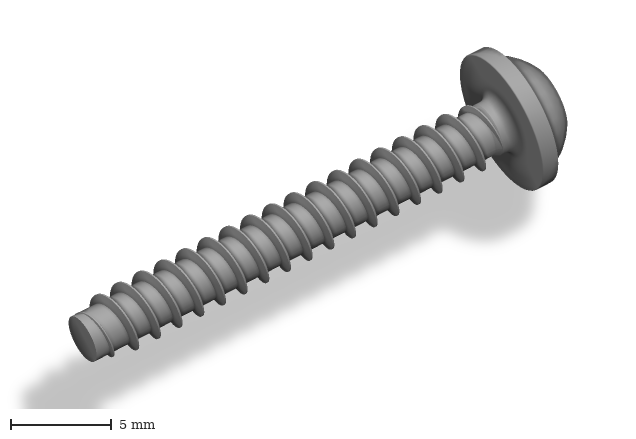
import cadquery as cq
import math

flange_diameter = 7.5
flange_radius = flange_diameter / 2
flange_thickness = 0.95
flange_edge_round = 0.05
dome_height = 1.77
dome_base_radius = 3.27
dome_top_radius = 1.85
dome_mid_radius = 2.75
dome_mid_height = 0.95

overall_length = 27.7
shank_length = overall_length - flange_thickness - dome_height
neck_radius = 1.4
neck_fillet = 0.5
neck_length = 0.83
neck_taper_length = 0.33
core_diameter = 2.52
core_radius = core_diameter / 2
tip_crown = 0.05

crest_radius = 1.72
root_radius = 1.15
full_thread_length = 21.3
section_count = 11
section_turns = 1.5
full_turns = section_count * section_turns
pitch = full_thread_length / full_turns
fade_turns = 1.4
faded_crest_radius = 1.2
root_width = 0.55
crest_width = 0.08
faded_root_width = 0.1
faded_crest_width = 0.05
full_thread_start = 1.9
thread_start_angle = -90.0


def make_body():
    """Head, neck and core as one profile revolved about Z, with its crowned tip at z = 0."""
    flange_top = shank_length + flange_thickness
    neck_end = shank_length - neck_length
    return (
        cq.Workplane("XZ")
        .moveTo(0, 0)
        .threePointArc((core_radius / 2, tip_crown / 4), (core_radius, tip_crown))
        .lineTo(core_radius, neck_end - neck_taper_length)
        .lineTo(neck_radius, neck_end)
        .lineTo(neck_radius, shank_length - neck_fillet)
        .radiusArc((neck_radius + neck_fillet, shank_length), neck_fillet)
        .lineTo(flange_radius - flange_edge_round, shank_length)
        .radiusArc((flange_radius, shank_length + flange_edge_round), -flange_edge_round)
        .lineTo(flange_radius, flange_top - flange_edge_round)
        .radiusArc((flange_radius - flange_edge_round, flange_top), -flange_edge_round)
        .lineTo(dome_base_radius, flange_top)
        .threePointArc(
            (dome_mid_radius, flange_top + dome_mid_height),
            (dome_top_radius, overall_length),
        )
        .lineTo(0, overall_length)
        .close()
        .revolve(360, (0, 0, 0), (0, 1, 0))
    )


def ridge_profile(base_width, top_width, top_radius):
    """Trapezoid corners as (radius, height), centred on the thread's mid plane."""
    return [
        (root_radius, -base_width / 2),
        (top_radius, -top_width / 2),
        (top_radius, top_width / 2),
        (root_radius, base_width / 2),
    ]


def make_helix(start_radius, end_radius, start_z, end_z, turns):
    """Right-handed helix from angle 0 whose radius changes evenly along its height."""
    height = end_z - start_z
    base = cq.Vector(0, 0, start_z)
    if start_radius == end_radius:
        return cq.Wire.makeHelix(height / turns, height, start_radius, base)
    cone_angle = math.atan2(end_radius - start_radius, height)
    slant_length = height / math.cos(cone_angle)
    return cq.Wire.makeHelix(
        slant_length / turns, slant_length, start_radius, base, angle=math.degrees(cone_angle)
    )


def make_ridge(start_profile, end_profile, turns):
    """Thread ridge of ruled faces between four helices, which join the corners of its end profiles."""
    rails = [
        make_helix(start_radius, end_radius, start_z, end_z + turns * pitch, turns)
        for (start_radius, start_z), (end_radius, end_z) in zip(start_profile, end_profile)
    ]
    faces = [cq.Face.makeRuledSurface(rails[i - 1], rails[i]) for i in range(len(rails))]
    for position in (0, 1):
        corners = [rail.positionAt(position) for rail in rails]
        faces.append(cq.Face.makeFromWires(cq.Wire.makePolygon(corners, close=True)))
    return cq.Solid.makeSolid(cq.Shell.makeShell(faces))


def place_ridge(ridge, turns_from_start):
    """Screw a ridge along the axis, counted in turns from the start of the full thread."""
    angle = thread_start_angle + 360 * turns_from_start
    height = full_thread_start + pitch * turns_from_start
    turned = ridge.rotate(cq.Vector(0, 0, 0), cq.Vector(0, 0, 1), angle)
    return turned.translate(cq.Vector(0, 0, height))


full_profile = ridge_profile(root_width, crest_width, crest_radius)
faded_profile = ridge_profile(faded_root_width, faded_crest_width, faded_crest_radius)
full_section = make_ridge(full_profile, full_profile, section_turns)
lead_in = make_ridge(faded_profile, full_profile, fade_turns)
run_out = make_ridge(full_profile, faded_profile, fade_turns)

ridges = [place_ridge(full_section, i * section_turns) for i in range(section_count)]
ridges.append(place_ridge(lead_in, -fade_turns))
ridges.append(place_ridge(run_out, full_turns))

screw = cq.Workplane(obj=make_body().val().fuse(*ridges)).solids()

result = screw.rotate((0, 0, 0), (1, 0, 0), -90)